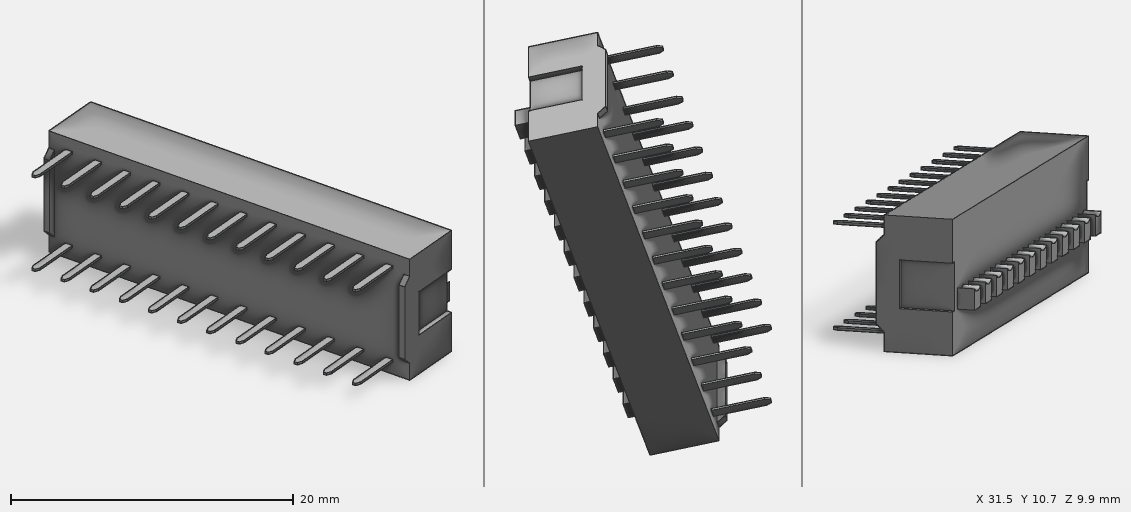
import cadquery as cq

LENGTH = 31.48
HEIGHT = 9.9
DEPTH = 5.1

POCKET_INSET = 0.4
POCKET_HEIGHT = 3.53
POCKET_LENGTH = 3.97

RAIL_WIDTH = 0.5
RAIL_RISE = 0.6
RAIL_HEIGHT = 7.1

POSITIONS = 12
POSITION_SPAN = 27.95
PITCH = POSITION_SPAN / (POSITIONS - 1)
POSITION_XS = [-POSITION_SPAN / 2 + i * PITCH for i in range(POSITIONS)]

PIN_ROW_SPACING = 7.65
PIN_WIDTH = 0.6
PIN_THICKNESS = 0.2
PIN_LENGTH = 4.3
TIP_WIDTH = 0.28
TIP_TAPER = 0.38

ACTUATOR_WIDTH = 1.35
ACTUATOR_HEIGHT = 1.55
ACTUATOR_RISE = 1.3
ACTUATOR_BOTTOM = -POCKET_HEIGHT / 2
DISH_DEPTH = 0.25

ROOT = 0.15


def make_housing():
    """Block with a pocket sunk into each end."""
    block = cq.Workplane("XY").box(LENGTH, DEPTH, HEIGHT).translate((0, DEPTH / 2, 0))
    for side in (-1, 1):
        pocket = cq.Workplane("XY").box(2 * POCKET_INSET, POCKET_LENGTH, POCKET_HEIGHT)
        block = block.cut(pocket.translate((side * LENGTH / 2, DEPTH - POCKET_LENGTH / 2, 0)))
    return block


def make_rail(side):
    """Trapezoidal rail flush with one end of the housing."""
    base_z = RAIL_HEIGHT / 2
    crest_z = base_z - RAIL_RISE
    profile = [
        (ROOT, -base_z),
        (0, -base_z),
        (-RAIL_RISE, -crest_z),
        (-RAIL_RISE, crest_z),
        (0, base_z),
        (ROOT, base_z),
    ]
    rail = cq.Workplane("YZ").polyline(profile).close().extrude(RAIL_WIDTH / 2, both=True)
    return rail.translate((side * (LENGTH - RAIL_WIDTH) / 2, 0, 0))


def make_pin(x, z):
    """Flat pin pointing toward -Y, tapered in width at its tip."""
    half_width = PIN_WIDTH / 2
    half_tip = TIP_WIDTH / 2
    shoulder_y = TIP_TAPER - PIN_LENGTH
    pin = (
        cq.Workplane("XY")
        .moveTo(-half_width, ROOT)
        .lineTo(-half_width, shoulder_y)
        .lineTo(-half_tip, -PIN_LENGTH)
        .lineTo(half_tip, -PIN_LENGTH)
        .lineTo(half_width, shoulder_y)
        .lineTo(half_width, ROOT)
        .close()
        .extrude(PIN_THICKNESS / 2, both=True)
    )
    return pin.translate((x, 0, z))


def make_actuator(x):
    """Actuator block whose top is dished by a trough running along Y."""
    half_width = ACTUATOR_WIDTH / 2
    top = ACTUATOR_BOTTOM + ACTUATOR_HEIGHT
    actuator = (
        cq.Workplane("XZ", origin=(x, DEPTH - ROOT, 0))
        .moveTo(-half_width, top)
        .lineTo(-half_width, ACTUATOR_BOTTOM)
        .lineTo(half_width, ACTUATOR_BOTTOM)
        .lineTo(half_width, top)
        .threePointArc((0, top - DISH_DEPTH), (-half_width, top))
        .close()
        .extrude(-(ACTUATOR_RISE + ROOT))
    )
    return actuator


result = make_housing()
for end in (-1, 1):
    result = result.union(make_rail(end))
for position_x in POSITION_XS:
    result = result.union(make_actuator(position_x))
    for row in (-1, 1):
        result = result.union(make_pin(position_x, row * PIN_ROW_SPACING / 2))